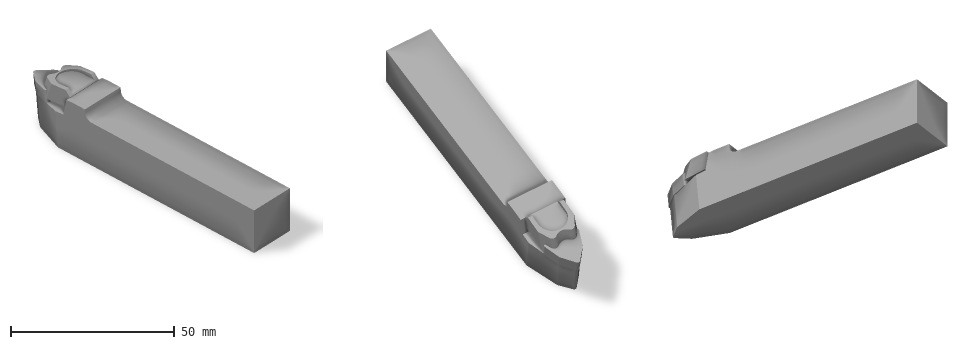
import cadquery as cq
import math

length = 99.6
width = 16.0
shank_height = 16.0
overall_height = 21.6
tilt = 5.5
tilt_cos = math.cos(math.radians(tilt))
tilt_sin = math.sin(math.radians(tilt))
tilt_slope = math.tan(math.radians(tilt))
beyond = 39.8

insert_inradius = 4.8
insert_thickness = 4.6
nose_radius = 0.8
nose_half_angle = 40.0
tip_height = 16.1
corner_count = 6
corner_angle = 360.0 / corner_count
nose_half_sin = math.sin(math.radians(nose_half_angle))
blunt_cos = math.cos(math.radians(corner_angle + nose_half_angle - 90.0))
tip_reach = insert_inradius / nose_half_sin - nose_radius * (1 / nose_half_sin - 1)

blunt_corner_radius = 1.2
seat_inset = 0.3
rear_flank_angle = corner_angle - nose_half_angle
seat_x = tip_reach * tilt_cos + insert_thickness * tilt_sin
seat_z = tip_height + tip_reach * tilt_sin - insert_thickness * tilt_cos

pocket_x = 19.8
wall_top_x = 21.0
block_height = 19.7
block_flat_x = 23.6
block_end_x = 28.8
block_foot_x = 29.2
block_fillet = 2.6

clamp_width = 12.9
clamp_lean = 18.0
clamp_peak_x = 19.2
clamp_front_x = 10.3
clamp_depth = 6.4
hollow_radius = 3.6
lobe_start_y = 2.24
lobe_end_y = 4.63
clamp_flank_angle = 30.0
recess_floor = 20.1
recess_radius = 5.0
recess_center_x = 15.8
recess_end_x = 21.9


def seat_height(x):
    """Height of the seat plane at x."""
    return seat_z + (x - seat_x) * tilt_slope


def clamp_top_height(x):
    """Height of the clamp's top plane at x."""
    return overall_height + (x - clamp_peak_x) * tilt_slope


def seat_plane():
    """Plane of the seat, centred under the insert."""
    return cq.Plane(origin=(seat_x, 0, seat_z), xDir=(tilt_cos, 0, tilt_sin), normal=(-tilt_sin, 0, tilt_cos))


def round_corner(body, corner, mid_height, radius):
    """Round the edge that stands on the seat at a corner and has its middle at mid_height."""
    middle = seat_plane().toWorldCoords((*corner, mid_height)).toTuple()
    return body.edges(cq.selectors.NearestToPointSelector(middle)).fillet(radius)


def side_prism(points, depth):
    """Prism with a side outline in X and Z, centred on the middle plane."""
    return cq.Workplane("XZ").polyline(points).close().extrude(depth / 2, both=True)


def make_insert():
    nose_reach = insert_inradius / nose_half_sin
    blunt_reach = insert_inradius / blunt_cos
    points = []
    for corner in range(corner_count):
        reach = blunt_reach if corner % 2 == 0 else nose_reach
        angle = math.radians(corner * corner_angle)
        points.append((reach * math.cos(angle), reach * math.sin(angle)))
    body = cq.Workplane(seat_plane()).polyline(points).close().extrude(insert_thickness)
    for nose in points[1::2]:
        body = round_corner(body, nose, insert_thickness / 2, nose_radius)
    return body


def make_nose_prism():
    """Pointed plan shape of the holder, square to the seat plane."""
    inradius = insert_inradius - seat_inset
    nose_x = -inradius / nose_half_sin
    blunt_reach = inradius / blunt_cos
    blunt_x = -blunt_reach * math.cos(math.radians(corner_angle))
    blunt_y = blunt_reach * math.sin(math.radians(corner_angle))
    shoulder_x = blunt_x + (width / 2 - blunt_y) / math.tan(math.radians(rear_flank_angle))
    end_x = length + beyond
    points = [
        (nose_x, 0),
        (blunt_x, -blunt_y),
        (shoulder_x, -width / 2),
        (end_x, -width / 2),
        (end_x, width / 2),
        (shoulder_x, width / 2),
        (blunt_x, blunt_y),
    ]
    prism = cq.Workplane(seat_plane()).polyline(points).close().extrude(beyond, both=True)
    for side in (-1, 1):
        prism = round_corner(prism, (blunt_x, side * blunt_y), 0, blunt_corner_radius)
    return round_corner(prism, (nose_x, 0), 0, nose_radius)


def make_shank():
    profile = [
        (-beyond, 0),
        (length, 0),
        (length, shank_height),
        (block_foot_x, shank_height),
        (block_end_x, block_height),
        (block_flat_x, block_height),
        (wall_top_x, block_height - (block_flat_x - wall_top_x) * tilt_slope),
        (pocket_x, seat_height(pocket_x)),
        (-beyond, seat_height(-beyond)),
    ]
    body = side_prism(profile, width)
    foot = cq.selectors.NearestToPointSelector((block_foot_x, 0, shank_height))
    return body.edges(foot).fillet(block_fillet).intersect(make_nose_prism())


def make_clamp_plan():
    """Clamp outline, square to its leaning front, with a hollow between two rounded lobes."""
    hollow_angle = math.asin(lobe_start_y / hollow_radius)
    flank_turn = math.radians(90.0 - clamp_flank_angle)
    lobe_radius = (lobe_end_y - lobe_start_y) / (math.sin(hollow_angle) + math.sin(flank_turn))
    lobe_y = lobe_start_y + lobe_radius * math.sin(hollow_angle)
    lobe_start_x = -hollow_radius * (1 - math.cos(hollow_angle))
    lobe_peak_x = lobe_start_x - lobe_radius * (1 - math.cos(hollow_angle))
    lobe_end_x = lobe_peak_x + lobe_radius * (1 - math.cos(flank_turn))
    half = clamp_width / 2
    side_x = lobe_end_x + (half - lobe_end_y) / math.tan(math.radians(clamp_flank_angle))
    lean = math.radians(clamp_lean)
    plane = cq.Plane(
        origin=(clamp_front_x, 0, clamp_top_height(clamp_front_x)),
        xDir=(math.cos(lean), 0, -math.sin(lean)),
        normal=(math.sin(lean), 0, math.cos(lean)),
    )
    return (
        cq.Workplane(plane)
        .moveTo(lobe_start_x, -lobe_start_y)
        .threePointArc((0, 0), (lobe_start_x, lobe_start_y))
        .threePointArc((lobe_peak_x, lobe_y), (lobe_end_x, lobe_end_y))
        .lineTo(side_x, half)
        .lineTo(beyond, half)
        .lineTo(beyond, -half)
        .lineTo(side_x, -half)
        .lineTo(lobe_end_x, -lobe_end_y)
        .threePointArc((lobe_peak_x, -lobe_y), (lobe_start_x, -lobe_start_y))
        .close()
        .extrude(beyond, both=True)
    )


def make_clamp():
    rear_x = clamp_peak_x + overall_height - block_height
    profile = [
        (0, clamp_top_height(0)),
        (clamp_peak_x, overall_height),
        (rear_x, block_height),
        (rear_x, clamp_top_height(rear_x) - clamp_depth),
        (0, clamp_top_height(0) - clamp_depth),
    ]
    return side_prism(profile, clamp_width).intersect(make_clamp_plan()).cut(make_recess())


def make_recess():
    """Round-fronted recess with a level floor in the clamp's top."""
    straight = recess_end_x - recess_center_x
    floor = cq.Workplane("XY").workplane(offset=recess_floor)
    round_end = floor.center(recess_center_x, 0).circle(recess_radius).extrude(beyond)
    channel = floor.center(recess_center_x + straight / 2, 0).rect(straight, 2 * recess_radius).extrude(beyond)
    return round_end.union(channel)


insert = make_insert()
holder = make_shank().union(make_clamp()).cut(insert)
result = cq.Compound.makeCompound([holder.solids().val(), insert.solids().val()])